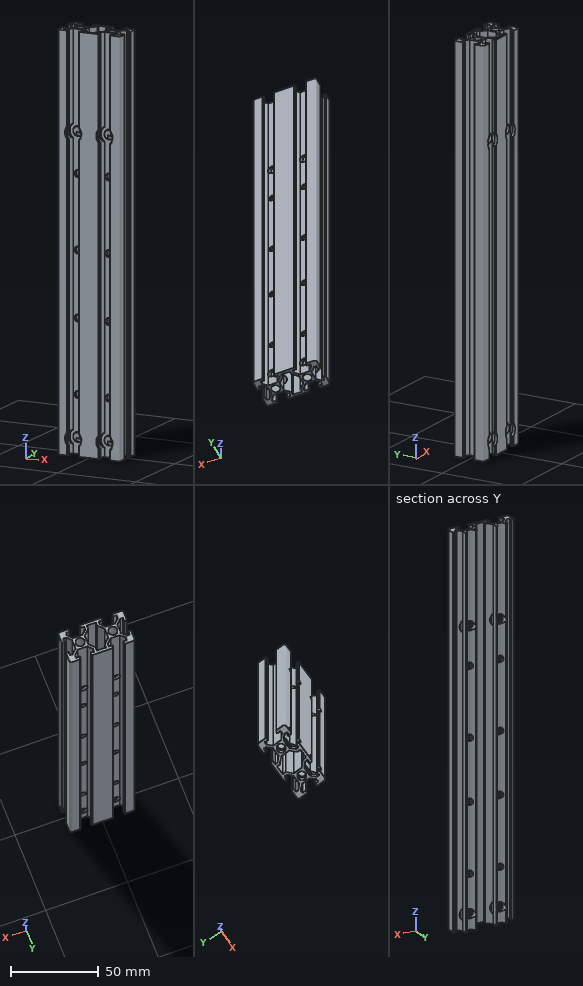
import cadquery as cq
import math

length = 250.0
module = 20.0
width = 2 * module
half_depth = module / 2
corner_radius = 1.5

slot_mouth = 6.5
mouth_chamfer = 0.62
slot_chamber = 11.0
lip_thickness = 1.8

core_size = 7.8
core_bore_diameter = 5.2
rib_thickness = 1.5
cavity_half_width = 2.8
rib_offset = rib_thickness / 2 * math.sqrt(2)

core_x = module / 2
mount_hole_diameter = 6.0
counterbore_diameter = 10.5
mount_hole_heights = (10.0, 190.0)
small_hole_diameter = 4.2
small_hole_heights = (35.0, 80.0, 120.0, 165.0)

slots = [(-core_x, 0), (core_x, 0), (-core_x, 180), (core_x, 180), (-core_x, 90), (core_x, -90)]


def slot_cutter(x, turn):
    """T-slot that opens toward +Y of its core before it is turned into place."""
    mouth = slot_mouth / 2
    chamber = slot_chamber / 2
    floor = core_size / 2
    under_lip = half_depth - lip_thickness
    floor_half = floor - rib_offset
    chamber_foot = chamber + rib_offset
    right_side = [
        (floor_half, floor),
        (chamber, chamber_foot),
        (chamber, under_lip),
        (mouth, under_lip),
        (mouth, half_depth - mouth_chamfer),
        (mouth + mouth_chamfer, half_depth),
    ]
    left_side = [(-px, py) for px, py in reversed(right_side)]
    cutter = cq.Workplane("XY").polyline(right_side + left_side).close().extrude(length)
    return cutter.rotate((0, 0, 0), (0, 0, 1), turn).translate((x, 0, 0))


def cavity_cutter():
    """Hollow between the two cores, bounded by the cores, the ribs and the two outer walls."""
    core_face = core_x - core_size / 2
    core_end = core_x - core_face - rib_offset
    wall_foot = core_x - cavity_half_width - rib_offset
    wall_top = half_depth - lip_thickness
    quarter = [
        (core_face, core_end),
        (cavity_half_width, wall_foot),
        (cavity_half_width, wall_top),
    ]
    upper = quarter + [(-px, py) for px, py in reversed(quarter)]
    lower = [(px, -py) for px, py in reversed(upper)]
    return cq.Workplane("XY").polyline(upper + lower).close().extrude(length)


def cylinders_along_y(diameter, heights, start, end):
    """Cylinders on both core axes at the given heights, from y = start to y = end."""
    points = [(x, z) for x in (-core_x, core_x) for z in heights]
    plane = cq.Workplane("XZ", origin=(0, end, 0))
    return plane.pushPoints(points).circle(diameter / 2).extrude(end - start)


result = cq.Workplane("XY").rect(width, module).extrude(length)
result = result.edges("|Z").fillet(corner_radius)
for slot_x, slot_turn in slots:
    result = result.cut(slot_cutter(slot_x, slot_turn))
result = result.cut(cavity_cutter())
bores = cq.Workplane("XY").pushPoints([(-core_x, 0), (core_x, 0)])
result = result.cut(bores.circle(core_bore_diameter / 2).extrude(length))

result = result.cut(cylinders_along_y(mount_hole_diameter, mount_hole_heights, -half_depth, half_depth))
result = result.cut(cylinders_along_y(small_hole_diameter, small_hole_heights, -half_depth, half_depth))
result = result.cut(
    cylinders_along_y(counterbore_diameter, mount_hole_heights, -half_depth, -core_size / 2)
)